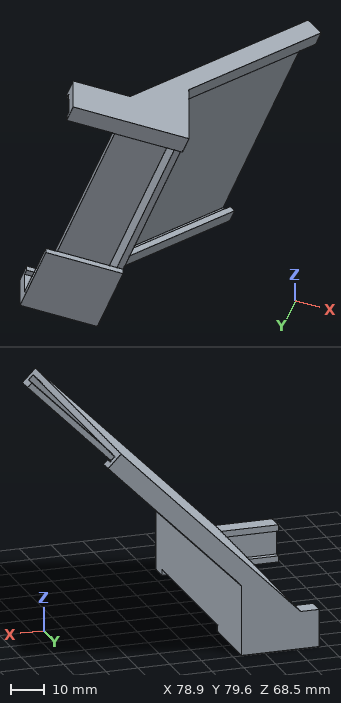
import cadquery as cq
import math

width = 79.6
total_height = 68.45
total_length = 78.9

slope = 45.0
plate_thickness = 6.0
skin = 2.0
hook_thickness = 2.0
plate_wall = 2.0
hook_reach = 4.3
front_hook_reach = 4.9

base_height = 11.9
base_length = 36.8
short_side_setback = 12.2
side_wall = 4.0
lip_reach = 5.7
lip_thickness = 2.0
wide_floor = 22.45
back_wall = 2.0
roof_lean = 0.18

cos_slope = math.cos(math.radians(slope))
sin_slope = math.sin(math.radians(slope))
tan_slope = math.tan(math.radians(slope))
peak_x = total_length - plate_thickness * sin_slope
foot_x = peak_x - (total_height - base_height) / tan_slope
undercut_z = base_height + (base_length - foot_x) * tan_slope - plate_thickness / cos_slope
plate_length = (total_height - base_height) / sin_slope


def block(x0, x1, y0, y1, z0, z1):
    return cq.Workplane("XY").box(x1 - x0, y1 - y0, z1 - z0, centered=False).translate((x0, y0, z0))


def plate_block(s0, s1, y0, y1, depth0, depth1):
    """Block placed along the plate; depth is measured down from its upper face."""
    straight = block(s0, s1, y0, y1, -depth1, -depth0)
    tilted = straight.rotate((0, 0, 0), (0, 1, 0), -slope)
    return tilted.translate((foot_x, 0, base_height))


def make_body():
    profile = [
        (0, 0),
        (base_length, 0),
        (base_length, undercut_z),
        (total_length, total_height - plate_thickness * cos_slope),
        (peak_x, total_height),
        (foot_x, base_height),
        (0, base_height),
    ]
    return cq.Workplane("XZ").polyline(profile).close().extrude(-width)


def cut_tray(body):
    pocket = block(
        0, base_length - back_wall, side_wall, width - side_wall,
        lip_thickness, base_height - lip_thickness,
    )
    floor_gap = block(0, base_length, lip_reach, width - wide_floor, 0, lip_thickness)
    roof_end = foot_x + roof_lean
    roof_z = base_height - lip_thickness
    roof_gap = (
        cq.Workplane("XZ")
        .polyline([(0, roof_z), (roof_end, roof_z), (foot_x, base_height), (0, base_height)])
        .close()
        .extrude(-(width - 2 * lip_reach))
        .translate((0, lip_reach, 0))
    )
    setback = block(0, short_side_setback, width / 2, width, 0, base_height)
    return body.cut(pocket).cut(floor_gap).cut(roof_gap).cut(setback)


def cut_plate_channel(body):
    start = (base_length - foot_x) * cos_slope + (undercut_z - base_height) * sin_slope
    hook_depth = plate_thickness - hook_thickness
    slot = plate_block(start, plate_length, plate_wall, width - plate_wall, skin, hook_depth)
    opening = plate_block(start, plate_length, front_hook_reach, width - hook_reach, skin, plate_thickness)
    return body.cut(slot).cut(opening)


result = cut_plate_channel(cut_tray(make_body()))